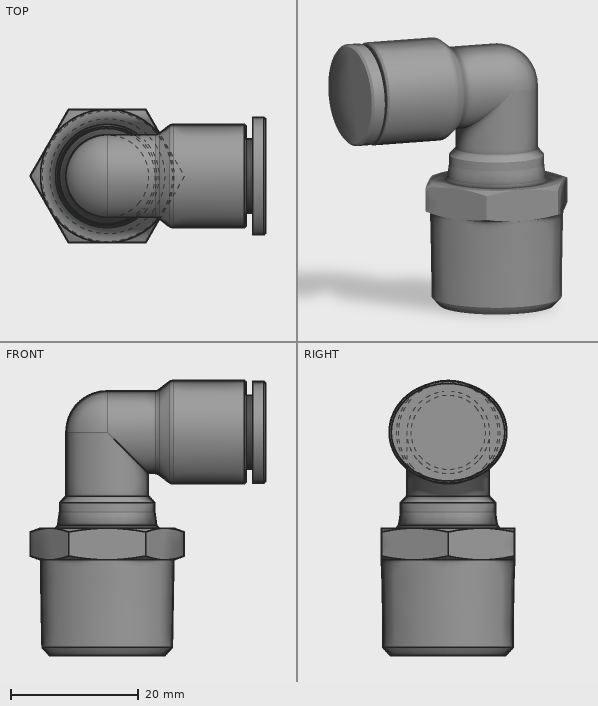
import math

import cadquery as cq

overall_height = 43.3
pipe_radius = 6.5
socket_radius = 8.15
arm_axis_height = overall_height - socket_radius

shank_end_radius = 9.05
shank_low_radius = 10.25
shank_chamfer_height = 1.3

hex_bottom = 15.05
hex_top = 20.05
hex_across_flats = 21.0
hex_face_radius = hex_across_flats / 2
hex_corner_radius = hex_across_flats / math.sqrt(3)
hex_chamfer_height = 0.6

collar_flare_radius = socket_radius
collar_low_radius = 7.8
collar_radius = 7.5
collar_flare_top = 20.5
collar_taper_top = 22.65
collar_top = 24.05
collar_cone_top = 25.1

socket_cone_start = 7.92
socket_cone_end = 10.05
socket_end = 21.85
socket_cone_blend = 1.1
socket_end_chamfer = 0.3

neck_radius = 5.85
flange_start = 22.9
flange_end = 25.0
flange_half_width = 9.25
flange_half_height = 8.0
flange_chamfer = 0.35


def revolve_about_z(outline):
    """Turn a list of (radius, height) points into a solid around the Z axis."""
    return cq.Workplane("XZ").polyline(outline).close().revolve(360, (0, 0, 0), (0, 1, 0))


def arm_plane(x):
    """Workplane across the arm at distance x: local x is +Y, local y is +Z."""
    return cq.Workplane("YZ", origin=(x, 0, arm_axis_height))


def make_shank():
    return revolve_about_z([
        (0, 0),
        (shank_end_radius, 0),
        (shank_low_radius, shank_chamfer_height),
        (hex_face_radius, hex_bottom),
        (0, hex_bottom),
    ])


def make_hexagon():
    prism = (
        cq.Workplane("XY", origin=(0, 0, hex_bottom))
        .polygon(6, 2 * hex_corner_radius)
        .extrude(hex_top - hex_bottom)
    )
    chamfer_envelope = revolve_about_z([
        (0, hex_bottom),
        (hex_face_radius, hex_bottom),
        (hex_corner_radius, hex_bottom + hex_chamfer_height),
        (hex_corner_radius, hex_top - hex_chamfer_height),
        (hex_face_radius, hex_top),
        (0, hex_top),
    ])
    return prism.intersect(chamfer_envelope)


def make_leg():
    return revolve_about_z([
        (0, hex_top),
        (collar_flare_radius, hex_top),
        (collar_low_radius, collar_flare_top),
        (collar_radius, collar_taper_top),
        (collar_radius, collar_top),
        (pipe_radius, collar_cone_top),
        (pipe_radius, arm_axis_height),
        (0, arm_axis_height),
    ])


def make_bend():
    return cq.Workplane("XY", origin=(0, 0, arm_axis_height)).sphere(pipe_radius)


def make_arm():
    """Horizontal pipe widening through a blended cone into the socket."""
    arm = (
        cq.Workplane("XZ", origin=(0, 0, arm_axis_height))
        .polyline([
            (0, 0),
            (0, pipe_radius),
            (socket_cone_start, pipe_radius),
            (socket_cone_end, socket_radius),
            (socket_end, socket_radius),
            (socket_end, 0),
        ])
        .close()
        .revolve(360, (0, 0, 0), (1, 0, 0))
    )
    cone_middle = (socket_cone_start + socket_cone_end) / 2
    cone_rims = cq.selectors.BoxSelector(
        (cone_middle - socket_radius / 2, -overall_height, 0),
        (cone_middle + socket_radius / 2, overall_height, 2 * overall_height),
    )
    arm = arm.edges("%CIRCLE").edges(cone_rims).fillet(socket_cone_blend)
    return arm.faces(">X").edges().chamfer(socket_end_chamfer)


def make_release_sleeve():
    neck = arm_plane(socket_end).circle(neck_radius).extrude(flange_start - socket_end)
    flange = (
        arm_plane(flange_start)
        .ellipse(flange_half_width, flange_half_height)
        .extrude(flange_end - flange_start)
        .faces(">X").edges().chamfer(flange_chamfer)
    )
    return neck.union(flange)


result = (
    make_shank()
    .union(make_hexagon())
    .union(make_leg())
    .union(make_bend())
    .union(make_arm())
    .union(make_release_sleeve())
)